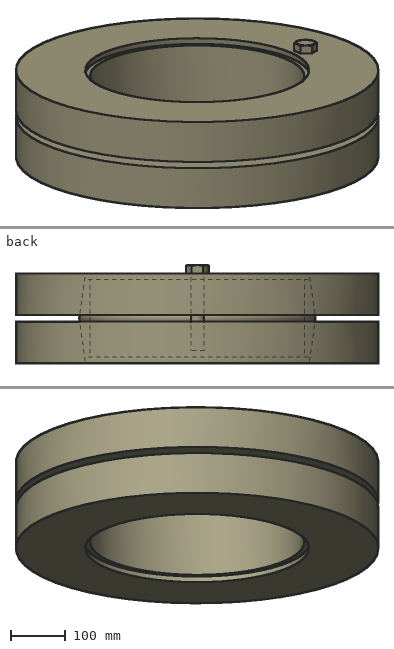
import cadquery as cq
import math


outer_diameter = 660.0
ring_thickness = 76.0
ring_gap = 12.0
outer_radius = outer_diameter / 2
inner_face_z = ring_gap / 2
outer_face_z = inner_face_z + ring_thickness

bore_diameter = 390.0
ridge_diameter = 430.0
cone_end_diameter = 407.0
end_recess = 11.0
bore_radius = bore_diameter / 2
inner_ring_end_z = outer_face_z - end_recess

bolt_y = 233.5
shank_diameter = 24.0
shank_depth_in_lower_ring = 53.0
head_across_flats = 36.0
head_height = 15.0
head_crown_diameter = 35.5
head_chamfer_angle = 30.0
shank_end_z = -inner_face_z - shank_depth_in_lower_ring


def cone_radius(height):
    """Radius of the double cone at a distance from the mid-plane."""
    ridge_radius = ridge_diameter / 2
    end_radius = cone_end_diameter / 2
    return ridge_radius + (end_radius - ridge_radius) * abs(height) / outer_face_z


def revolve_outline(points):
    """Turn a closed (radius, Z) outline about the Z axis."""
    return cq.Workplane("XZ").polyline(points).close().revolve(360, (0, 0), (0, 1))


def make_shank():
    """Bolt shank, also the shape of the matching holes."""
    shank_length = outer_face_z - shank_end_z
    return (
        cq.Workplane("XY", origin=(0, bolt_y, shank_end_z))
        .circle(shank_diameter / 2)
        .extrude(shank_length)
    )


def make_thrust_ring(side):
    """Ring with a tapered bore; side is +1 for the upper ring, -1 for the lower."""
    ring = revolve_outline([
        (cone_radius(inner_face_z), side * inner_face_z),
        (outer_radius, side * inner_face_z),
        (outer_radius, side * outer_face_z),
        (cone_radius(outer_face_z), side * outer_face_z),
    ])
    return ring.cut(make_shank())


def make_inner_ring():
    """Ring with a plain bore and a double-cone outside."""
    end_radius = cone_radius(inner_ring_end_z)
    return revolve_outline([
        (bore_radius, -inner_ring_end_z),
        (end_radius, -inner_ring_end_z),
        (cone_radius(0), 0),
        (end_radius, inner_ring_end_z),
        (bore_radius, inner_ring_end_z),
    ])


def make_bolt():
    """Hex bolt with two head corners on the X direction and chamfered top corners."""
    across_corners = head_across_flats / math.cos(math.radians(30))
    corner_radius = across_corners / 2
    crown_radius = head_crown_diameter / 2
    chamfer_drop = (corner_radius - crown_radius) * math.tan(math.radians(head_chamfer_angle))

    hex_head = (
        cq.Workplane("XY", origin=(0, bolt_y, outer_face_z))
        .polygon(6, across_corners)
        .extrude(head_height)
    )
    chamfer_envelope = revolve_outline([
        (0, outer_face_z),
        (corner_radius, outer_face_z),
        (corner_radius, outer_face_z + head_height - chamfer_drop),
        (crown_radius, outer_face_z + head_height),
        (0, outer_face_z + head_height),
    ]).translate((0, bolt_y, 0))
    return hex_head.intersect(chamfer_envelope).union(make_shank())


upper_ring, lower_ring = [make_thrust_ring(side) for side in (1, -1)]
inner_ring = make_inner_ring()
bolt = make_bolt()

result = cq.Compound.makeCompound([
    upper_ring.solids().val(),
    lower_ring.solids().val(),
    inner_ring.solids().val(),
    bolt.solids().val(),
])